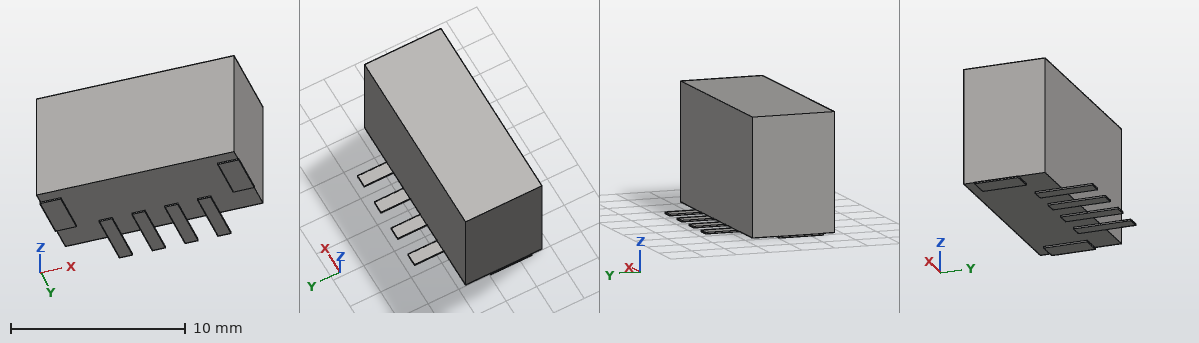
import cadquery as cq

HOUSING_LENGTH = 12.0
HOUSING_DEPTH = 5.0
HOUSING_HEIGHT = 7.05

METAL_THICKNESS = 0.1

LEAD_COUNT = 4
LEAD_PITCH = 1.99
LEAD_WIDTH = 0.8
LEAD_OVERHANG = 1.9

TAB_SPAN = 12.08
TAB_WIDTH = 1.28
TAB_LENGTH = 2.68
TAB_FRONT_SETBACK = 0.69

HOUSING_BACK = HOUSING_DEPTH / 2
HOUSING_FRONT = -HOUSING_DEPTH / 2
TAB_FRONT = HOUSING_FRONT + TAB_FRONT_SETBACK
TAB_BACK = TAB_FRONT + TAB_LENGTH
LEAD_LENGTH = HOUSING_BACK + LEAD_OVERHANG - TAB_BACK


def make_housing():
    """Rectangular block with its underside at Z = 0."""
    return cq.Workplane("XY").box(
        HOUSING_LENGTH, HOUSING_DEPTH, HOUSING_HEIGHT, centered=(True, True, False)
    )


def make_metal_strip(x_center, y_front, width, length):
    """Flat strip whose top face touches the underside of the housing."""
    strip = cq.Workplane("XY").box(
        width, length, METAL_THICKNESS, centered=(True, False, False)
    )
    return strip.translate((x_center, y_front, -METAL_THICKNESS))


def make_lead(x_center):
    """Signal lead from level with the back of the tabs out past the housing."""
    return make_metal_strip(x_center, TAB_BACK, LEAD_WIDTH, LEAD_LENGTH)


def make_solder_tab(side):
    """Solder tab at the left (side = -1) or right (side = 1) end."""
    x_center = side * (TAB_SPAN - TAB_WIDTH) / 2
    return make_metal_strip(x_center, TAB_FRONT, TAB_WIDTH, TAB_LENGTH)


housing = make_housing()

leads = []
for index in range(LEAD_COUNT):
    lead_x = (index - (LEAD_COUNT - 1) / 2) * LEAD_PITCH
    leads.append(make_lead(lead_x))

solder_tabs = [make_solder_tab(side) for side in (-1, 1)]

result = cq.Compound.makeCompound(
    [body.val() for body in [housing, *leads, *solder_tabs]]
)